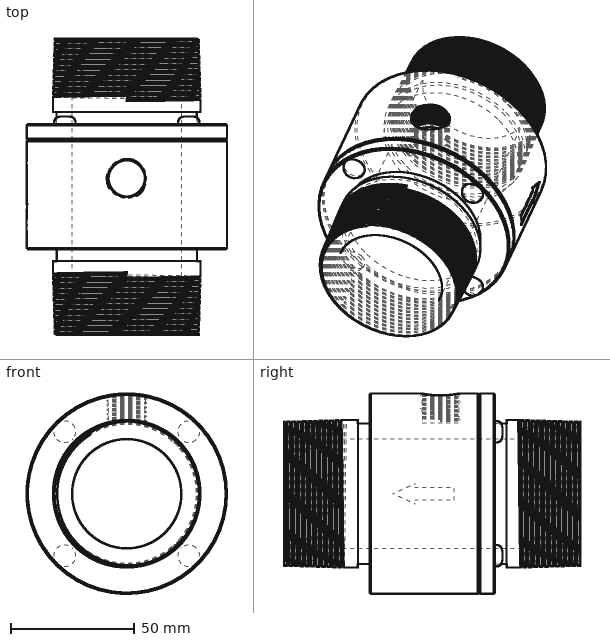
import cadquery as cq
import math

total_length = 120.6
half_length = total_length / 2
body_half_length = 25.5
collar_inner_y = 30.3
thread_start_y = 35.0
flange_joint_y = 19.0

body_radius = 40.8
neck_radius = 28.6
collar_radius = 30.0
thread_end_radius = 29.3
bore_radius = 22.2
mouth_round = 3.3
edge_chamfer = 0.6

thread_turns = 12
groove_travel = 26.5
thread_pitch = groove_travel / thread_turns
thread_depth = 1.1
first_groove_offset = 0.6

port_y = 3.4
port_floor_radius = 7.4
port_mouth_radius = 7.6
port_depth = 12.0
port_pitch = 1.8
port_thread_depth = 0.6

screw_offset = 25.2
screw_head_diameter = 8.8
screw_head_height = 3.0
screw_head_round = 2.4

arrow_tail_y = 8.9
arrow_shoulder_y = -7.0
arrow_tip_y = -15.9
arrow_shaft_half_width = 2.5
arrow_head_half_width = 4.1
arrow_depth = 0.4

flank_half_angle = math.radians(30)
overlap = 0.1


def body():
    """Wide middle section with its bore and the V groove at the flange joint."""
    chamfered_radius = body_radius - edge_chamfer
    return (
        cq.Workplane("XY")
        .moveTo(bore_radius, -body_half_length)
        .lineTo(chamfered_radius, -body_half_length)
        .lineTo(body_radius, edge_chamfer - body_half_length)
        .lineTo(body_radius, flange_joint_y - edge_chamfer)
        .lineTo(chamfered_radius, flange_joint_y)
        .lineTo(body_radius, flange_joint_y + edge_chamfer)
        .lineTo(body_radius, body_half_length - edge_chamfer)
        .lineTo(chamfered_radius, body_half_length)
        .lineTo(bore_radius, body_half_length)
        .close()
        .revolve(360, (0, 0, 0), (0, 1, 0))
    )


def helical_cutter(start_radius, pitch, turns, start_z, depth, taper):
    """V-shaped helix around Z, widening upward by the taper; a negative depth points the V outward."""
    helix = cq.Wire.makeHelix(pitch, turns * pitch, start_radius, angle=math.degrees(taper))
    base_overlap = math.copysign(overlap, depth)
    half_width = (abs(depth) + overlap) * math.tan(flank_half_angle)
    return (
        cq.Workplane("XZ")
        .moveTo(start_radius + base_overlap, -half_width)
        .lineTo(start_radius - depth, 0)
        .lineTo(start_radius + base_overlap, half_width)
        .close()
        .sweep(cq.Workplane(helix), isFrenet=True)
        .translate((0, 0, start_z))
    )


def thread_cutter():
    """Thread groove of the -Y end, growing with the taper away from the end face."""
    taper = math.atan((collar_radius - thread_end_radius) / (half_length - thread_start_y))
    start = first_groove_offset - thread_pitch
    start_radius = thread_end_radius + start * math.tan(taper)
    groove = helical_cutter(start_radius, thread_pitch, thread_turns, start, thread_depth, taper)
    return (
        groove.rotate((0, 0, 0), (0, 0, 1), -90)
        .rotate((0, 0, 0), (1, 0, 0), -90)
        .translate((0, -half_length, 0))
    )


def pipe_end():
    """Neck, collar and threaded spigot on the -Y side of the body."""
    round_middle = mouth_round * (1 - math.sin(math.pi / 4))
    blank = (
        cq.Workplane("XY")
        .moveTo(bore_radius, mouth_round - half_length)
        .threePointArc(
            (bore_radius + round_middle, round_middle - half_length),
            (bore_radius + mouth_round, -half_length),
        )
        .lineTo(thread_end_radius, -half_length)
        .lineTo(collar_radius, -thread_start_y)
        .lineTo(collar_radius, -collar_inner_y)
        .lineTo(neck_radius, -collar_inner_y)
        .lineTo(neck_radius, -body_half_length)
        .lineTo(bore_radius, -body_half_length)
        .close()
        .revolve(360, (0, 0, 0), (0, 1, 0))
    )
    return blank.cut(thread_cutter())


def port_cutter():
    """Blind hole down from the crown, with its internal thread."""
    floor_z = body_radius - port_depth
    taper = math.atan((port_mouth_radius - port_floor_radius) / port_depth)
    hole = cq.Workplane(cq.Solid.makeCone(port_floor_radius, port_mouth_radius, port_depth))
    hole = hole.translate((0, 0, floor_z))
    thread_start_z = floor_z + port_pitch / 2
    turns = math.ceil(port_depth / port_pitch)
    groove = helical_cutter(
        port_floor_radius, port_pitch, turns, thread_start_z, -port_thread_depth, taper
    )
    return [shape.translate((0, port_y, 0)) for shape in (hole, groove)]


def screw_head():
    """Button head standing on the +Y flange face at the origin of X and Z."""
    return (
        cq.Workplane("XZ", origin=(0, body_half_length, 0))
        .circle(screw_head_diameter / 2)
        .extrude(-screw_head_height)
        .faces(">Y")
        .edges()
        .fillet(screw_head_round)
    )


def arrow_cutter():
    """Arrow-shaped piece of the outer skin of the body, on the -X side."""
    prism = (
        cq.Workplane("YZ")
        .polyline([
            (arrow_tail_y, -arrow_shaft_half_width),
            (arrow_tail_y, arrow_shaft_half_width),
            (arrow_shoulder_y, arrow_shaft_half_width),
            (arrow_shoulder_y, arrow_head_half_width),
            (arrow_tip_y, 0),
            (arrow_shoulder_y, -arrow_head_half_width),
            (arrow_shoulder_y, -arrow_shaft_half_width),
        ])
        .close()
        .extrude(-body_radius - overlap)
    )
    core = (
        cq.Workplane("XZ")
        .circle(body_radius - arrow_depth)
        .extrude(half_length, both=True)
    )
    return prism.cut(core)


result = body()

for cutter in port_cutter():
    result = result.cut(cutter)

result = result.cut(arrow_cutter())

for x_sign in (-1, 1):
    for z_sign in (-1, 1):
        result = result.union(screw_head().translate((x_sign * screw_offset, 0, z_sign * screw_offset)))

threaded_end = pipe_end()
for turn_angle in (0, 180):
    result = result.union(threaded_end.rotate((0, 0, 0), (0, 0, 1), turn_angle))